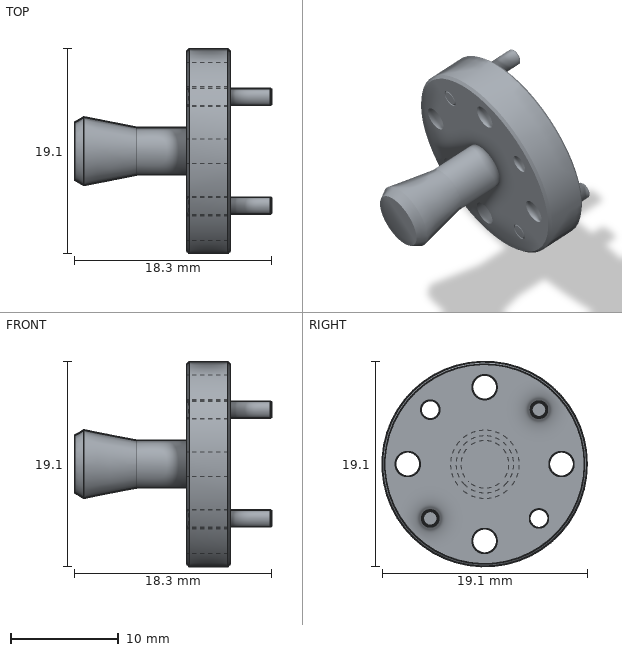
import cadquery as cq


flange_diameter = 19.05
flange_thickness = 4.05
flange_chamfer = 0.25

knob_length = 10.42
knob_diameter = 6.36
knob_tip_diameter = 5.33
knob_tip_length = 0.88
cone_length = 4.88
neck_diameter = 4.44

hole_circle_radius = 7.15
large_hole_diameter = 2.27
small_hole_diameter = 1.71
large_hole_angles = [0, 90, 180, 270]
small_hole_angles = [135, 315]
pin_angles = [45, 225]

pin_diameter = 1.58
pin_protrusion = 3.87
pin_chamfer = 0.13
pin_length = flange_thickness + pin_protrusion


def circle_of_cylinders(diameter, length, angles):
    """Cylinders along +X from the knob side of the flange, one at each angle."""
    plane = cq.Workplane("YZ", origin=(knob_length, 0, 0))
    cylinders = []
    for angle in angles:
        cylinder = plane.center(hole_circle_radius, 0).circle(diameter / 2).extrude(length)
        cylinders.append(cylinder.rotate((0, 0, 0), (1, 0, 0), angle))
    return cylinders


def make_flanged_knob():
    """Chamfered flange and flared knob in one piece, drilled for bolts and pins."""
    flange = (
        cq.Workplane("YZ", origin=(knob_length, 0, 0))
        .circle(flange_diameter / 2)
        .extrude(flange_thickness)
        .edges()
        .chamfer(flange_chamfer)
    )
    cone_end = knob_tip_length + cone_length
    knob = (
        cq.Workplane("XY")
        .moveTo(0, 0)
        .lineTo(0, knob_tip_diameter / 2)
        .lineTo(knob_tip_length, knob_diameter / 2)
        .lineTo(cone_end, neck_diameter / 2)
        .lineTo(knob_length, neck_diameter / 2)
        .lineTo(knob_length, 0)
        .close()
        .revolve(360, (0, 0, 0), (1, 0, 0))
    )
    body = flange.union(knob)

    hole_groups = [
        (large_hole_diameter, large_hole_angles),
        (small_hole_diameter, small_hole_angles),
        (pin_diameter, pin_angles),
    ]
    for diameter, angles in hole_groups:
        for hole in circle_of_cylinders(diameter, flange_thickness, angles):
            body = body.cut(hole)
    return body


def make_pins():
    """Dowel pins chamfered at both ends."""
    blanks = circle_of_cylinders(pin_diameter, pin_length, pin_angles)
    return [blank.faces("<X or >X").edges().chamfer(pin_chamfer) for blank in blanks]


flanged_knob = make_flanged_knob()
pins = make_pins()

result = cq.Compound.makeCompound([flanged_knob.val(), *[pin.val() for pin in pins]])